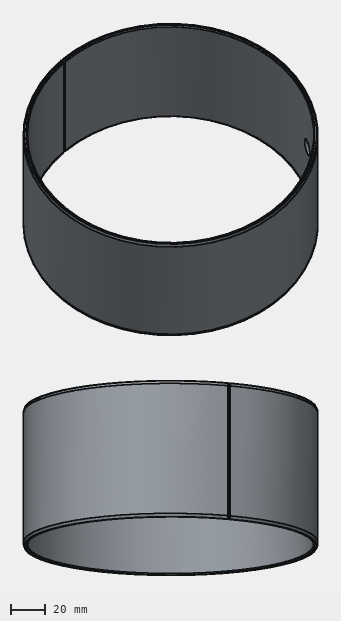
import cadquery as cq
import math

OUTER_DIAMETER = 170.0
WALL = 2.5
HEIGHT = 80.0

OUTER_CHAMFER_HEIGHT = 1.8
OUTER_CHAMFER_ANGLE = 20.0

INNER_CHAMFER = 0.8

START_ANGLE = 180.0
SLIT_ANGLE = 1.0

HOLE_DIAMETER = 10.0
HOLE_OFFSET_ANGLE = 120.0

OUTER_RADIUS = OUTER_DIAMETER / 2
INNER_RADIUS = OUTER_RADIUS - WALL
OUTER_CHAMFER_DEPTH = OUTER_CHAMFER_HEIGHT * math.tan(math.radians(OUTER_CHAMFER_ANGLE))
RIM_OUTER_RADIUS = OUTER_RADIUS - OUTER_CHAMFER_DEPTH
RIM_INNER_RADIUS = INNER_RADIUS + INNER_CHAMFER
SWEEP_ANGLE = 360.0 - SLIT_ANGLE
HOLE_ANGLE = START_ANGLE - SLIT_ANGLE - HOLE_OFFSET_ANGLE


def make_split_sleeve():
    """Chamfered wall section revolved about Z, standing on Z = 0, with the slit left open at -X."""
    return (
        cq.Workplane("XZ")
        .moveTo(RIM_INNER_RADIUS, 0)
        .lineTo(RIM_OUTER_RADIUS, 0)
        .lineTo(OUTER_RADIUS, OUTER_CHAMFER_HEIGHT)
        .lineTo(OUTER_RADIUS, HEIGHT - OUTER_CHAMFER_HEIGHT)
        .lineTo(RIM_OUTER_RADIUS, HEIGHT)
        .lineTo(RIM_INNER_RADIUS, HEIGHT)
        .lineTo(INNER_RADIUS, HEIGHT - INNER_CHAMFER)
        .lineTo(INNER_RADIUS, INNER_CHAMFER)
        .close()
        .revolve(SWEEP_ANGLE, (0, 0, 0), (0, 1, 0))
        .rotate((0, 0, 0), (0, 0, 1), START_ANGLE)
    )


def make_hole():
    """Cutter running from the sleeve axis out through one side of the wall."""
    return (
        cq.Workplane("YZ")
        .center(0, HEIGHT / 2)
        .circle(HOLE_DIAMETER / 2)
        .extrude(OUTER_DIAMETER)
        .rotate((0, 0, 0), (0, 0, 1), HOLE_ANGLE)
    )


result = make_split_sleeve().cut(make_hole())